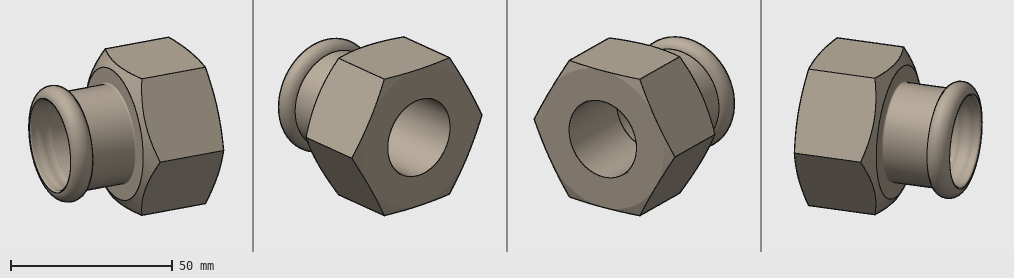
import cadquery as cq
import math

TOTAL_LENGTH = 48.0
HEX_ACROSS_FLATS = 46.0
HEX_LENGTH = 26.0

FRONT_CHAMFER_DIAMETER = 42.0
FRONT_CHAMFER_ANGLE = 30.0
BACK_CHAMFER_DIAMETER = HEX_ACROSS_FLATS
BACK_CHAMFER_ANGLE = 15.0
ENVELOPE_MARGIN = 1.0

TUBE_OUTER_DIAMETER = 31.4
TUBE_INNER_DIAMETER = 28.4
ROOT_FILLET = 0.5
THROUGH_BORE_DIAMETER = 25.4

BEAD_DIAMETER = 36.7
BEAD_WIDTH = 7.35

MOUTH_FILLET = 0.6
MOUTH_BORE_DIAMETER = 28.8
SEAL_START = 2.25
SEAL_END = 5.2
STEP_START = 6.3
STEP_END = 7.3

hex_front = TOTAL_LENGTH - HEX_LENGTH
across_corners = HEX_ACROSS_FLATS / math.cos(math.radians(30))
corner_radius = across_corners / 2
tube_outer_radius = TUBE_OUTER_DIAMETER / 2
tube_inner_radius = TUBE_INNER_DIAMETER / 2
through_radius = THROUGH_BORE_DIAMETER / 2
mouth_bore_radius = MOUTH_BORE_DIAMETER / 2
bead_radius = BEAD_WIDTH / 2
bead_centre_radius = BEAD_DIAMETER / 2 - bead_radius
seal_middle = (SEAL_START + SEAL_END) / 2
seal_crest_radius = tube_inner_radius


def arc_height(radius, offset):
    """Half-chord of a circle at a given distance from its centre."""
    return math.sqrt(radius**2 - offset**2)


def fillet_midpoint_offset(radius):
    """Distance from either tangent face to the middle of a square-corner fillet."""
    return radius * (1 - math.cos(math.radians(45)))


def revolve_about_y(profile):
    """Turn a closed profile (radius, y) about the part's axis."""
    return profile.close().revolve(360, (0, 0, 0), (0, 1, 0))


def make_hexagon():
    """Hexagonal body with conical chamfers on the corners at both ends."""
    prism = (
        cq.Workplane("XZ", origin=(0, hex_front, 0))
        .polygon(6, across_corners)
        .extrude(-HEX_LENGTH)
    )
    limit_radius = corner_radius + ENVELOPE_MARGIN
    front_edge_radius = FRONT_CHAMFER_DIAMETER / 2
    back_edge_radius = BACK_CHAMFER_DIAMETER / 2
    front_drop = (limit_radius - front_edge_radius) * math.tan(math.radians(FRONT_CHAMFER_ANGLE))
    back_drop = (limit_radius - back_edge_radius) * math.tan(math.radians(BACK_CHAMFER_ANGLE))
    envelope = revolve_about_y(
        cq.Workplane("XY")
        .moveTo(0, hex_front)
        .lineTo(front_edge_radius, hex_front)
        .lineTo(limit_radius, hex_front + front_drop)
        .lineTo(limit_radius, TOTAL_LENGTH - back_drop)
        .lineTo(back_edge_radius, TOTAL_LENGTH)
        .lineTo(0, TOTAL_LENGTH)
    )
    return prism.intersect(envelope)


def make_socket():
    """Solid outline of the tube, with the bead at its mouth and a fillet at its root."""
    bead_end = bead_radius + arc_height(bead_radius, tube_outer_radius - bead_centre_radius)
    fillet_middle = fillet_midpoint_offset(ROOT_FILLET)
    return revolve_about_y(
        cq.Workplane("XY")
        .moveTo(0, 0)
        .lineTo(bead_centre_radius, 0)
        .threePointArc((BEAD_DIAMETER / 2, bead_radius), (tube_outer_radius, bead_end))
        .lineTo(tube_outer_radius, hex_front - ROOT_FILLET)
        .threePointArc(
            (tube_outer_radius + fillet_middle, hex_front - fillet_middle),
            (tube_outer_radius + ROOT_FILLET, hex_front),
        )
        .lineTo(0, hex_front)
    )


def make_bore():
    """Rounded mouth, raised seal ring, step to the socket bore and smaller through bore."""
    mouth_middle = fillet_midpoint_offset(MOUTH_FILLET)
    return revolve_about_y(
        cq.Workplane("XY")
        .moveTo(0, 0)
        .lineTo(mouth_bore_radius + MOUTH_FILLET, 0)
        .threePointArc((mouth_bore_radius + mouth_middle, mouth_middle), (mouth_bore_radius, MOUTH_FILLET))
        .lineTo(mouth_bore_radius, SEAL_START)
        .threePointArc((seal_crest_radius, seal_middle), (mouth_bore_radius, SEAL_END))
        .lineTo(mouth_bore_radius, STEP_START)
        .lineTo(tube_inner_radius, STEP_END)
        .lineTo(tube_inner_radius, hex_front)
        .lineTo(through_radius, hex_front)
        .lineTo(through_radius, TOTAL_LENGTH)
        .lineTo(0, TOTAL_LENGTH)
    )


result = make_hexagon().union(make_socket()).cut(make_bore())